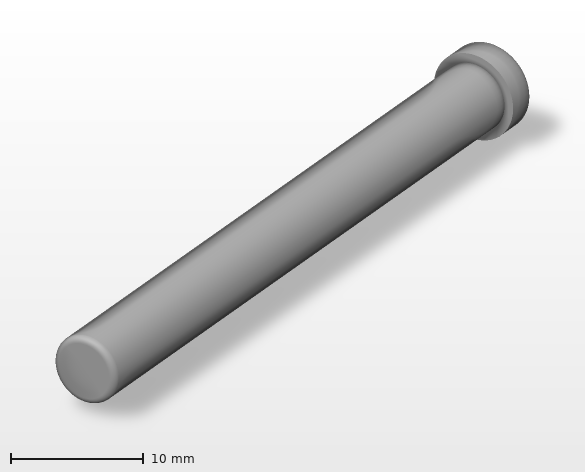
import cadquery as cq

total_length = 55.9
head_diameter = 7.15
head_length = 2.55
shank_diameter = 5.6
edge_radius = 0.5

shank_length = total_length - head_length

head = cq.Workplane("XZ").circle(head_diameter / 2).extrude(-head_length)
head = head.faces(">Y").edges().fillet(edge_radius)

shank = cq.Workplane("XZ").circle(shank_diameter / 2).extrude(shank_length)
shank = shank.faces("<Y").edges().fillet(edge_radius)

result = head.union(shank).translate((0, total_length / 2 - head_length, 0))